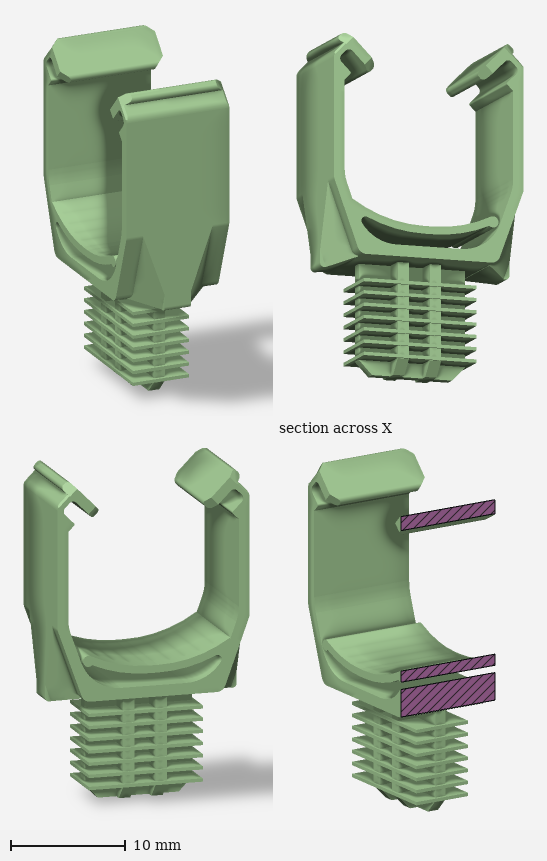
import cadquery as cq
import math


width = 17.56
length = 9.85
wall = 0.97
floor = 1.03
half_width = width / 2
half_inner = half_width - wall
half_length = length / 2
lean = math.radians(20)
inner_lean_z = 6.84
inner_lean_radius = 4.0
floor_radius = 3.85
foot_x = 6.09
foot_slope = math.radians(16.6)
foot_radius = 0.4

shoulder_z = 17.75
shoulder_radius = 0.87
shoulder_thickness = 0.61
bar_thickness = 0.93
bar_n = 1.38
bar_outer_u = -0.64
bar_inner_u = 3.50
bar_radius = 0.35
bar_corner = 0.86
notch_n = -0.08
notch_radius = 0.45
nub_u = 2.35
nub_radius = 0.15
shoulder_edge_y = 0.2
shoulder_edge_depth = 0.16

tongue_thickness = 0.69
tongue_top_z = 2.85
tongue_radius = 12.0
tongue_flat = 0.87
tongue_root_x = -7.02
tongue_tip_x = 5.73
tongue_bead_radius = 0.5
tongue_root_radius = 0.4
slot_end_x = 6.7
slot_end_z = 3.8

facet_z = 6.59
facet_half = 3.31
rib_half = 1.264
rib_depth = 1.95
facet_top_radius = 0.7
facet_foot_x = half_width - facet_z * math.tan(lean)
facet_foot_radius = 0.85
rib_embed = 0.5

plug_depth = 9.82
plug_half_x = 4.925
plug_half_y = 2.48
plug_taper = 1.22
plug_taper_height = 1.26
cross_rib_x = 1.49
plug_rib = 1.04
fin_count = 7
fin_pitch = 1.095
fin_thickness = 0.3
fin_half_x = 5.22
fin_half_y = 2.68
first_fin_z = -1.82


def unit(start, end):
    """Unit vector from start towards end."""
    dx = end[0] - start[0]
    dz = end[1] - start[1]
    distance = math.hypot(dx, dz)
    return dx / distance, dz / distance


def rounded_outline(corners):
    """Closed XZ outline through (x, z, radius) corners, each rounded by a tangent arc."""
    stretches = []
    for i, (x, z, radius) in enumerate(corners):
        if radius == 0:
            stretches.append([(x, z)])
            continue
        back = unit((x, z), corners[i - 1])
        ahead = unit((x, z), corners[(i + 1) % len(corners)])
        half_angle = math.acos(back[0] * ahead[0] + back[1] * ahead[1]) / 2
        reach = radius / math.tan(half_angle)
        middle = unit((0, 0), (back[0] + ahead[0], back[1] + ahead[1]))
        sag = radius / math.sin(half_angle) - radius
        stretches.append([
            (x + reach * back[0], z + reach * back[1]),
            (x + sag * middle[0], z + sag * middle[1]),
            (x + reach * ahead[0], z + reach * ahead[1]),
        ])
    outline = cq.Workplane("XZ").moveTo(*stretches[0][-1])
    for stretch in stretches[1:] + stretches[:1]:
        if len(stretch) == 1:
            outline = outline.lineTo(*stretch[0])
        else:
            outline = outline.lineTo(*stretch[0]).threePointArc(*stretch[1:])
    return outline.close()


def hook_point(u, n):
    """XZ position of a point of the left hook frame."""
    return -half_width + (u + n) / math.sqrt(2), shoulder_z + (n - u) / math.sqrt(2)


def both_sides(solid):
    """Solid together with its mirror image in X."""
    return solid.union(solid.mirror("YZ"))


def make_frame():
    """Cradle, side walls and snap hooks as one extruded outline."""
    bar_top_n = bar_n + bar_thickness
    nub_base_n = wall * math.sqrt(2) - nub_u
    floor_x = half_inner - (inner_lean_z - floor) * math.tan(lean)
    left = [
        (-facet_foot_x, 0, facet_foot_radius),
        (-half_width, facet_z, facet_top_radius),
        (-half_width, shoulder_z, shoulder_radius),
        (*hook_point(0, bar_n), 0),
        (*hook_point(bar_outer_u, bar_n), bar_radius),
        (*hook_point(bar_outer_u, bar_top_n), bar_radius),
        (*hook_point(bar_inner_u, bar_top_n), bar_radius),
        (*hook_point(bar_inner_u, bar_n), bar_radius),
        (*hook_point(shoulder_thickness, bar_n), notch_radius),
        (*hook_point(shoulder_thickness, notch_n), notch_radius),
        (*hook_point(nub_u, notch_n), nub_radius),
        (*hook_point(nub_u, nub_base_n), 0),
        (-half_inner, inner_lean_z, inner_lean_radius),
        (-floor_x, floor, floor_radius),
    ]
    right = [(-x, z, radius) for x, z, radius in reversed(left)]
    return rounded_outline(left + right).extrude(half_length, both=True)


def arc_height(x, radius, bottom_z):
    """Height of the tongue arc that rises from its flat middle."""
    run = abs(x) - tongue_flat / 2
    return bottom_z + radius - math.sqrt(radius**2 - run**2)


def make_tongue():
    """Curved strip with a bead along its free edge."""
    under_z = tongue_top_z - tongue_thickness
    under_radius = tongue_radius + tongue_thickness
    flat = tongue_flat / 2

    def top(x):
        return x, arc_height(x, tongue_radius, tongue_top_z)

    def under(x):
        return x, arc_height(x, under_radius, under_z)

    tip = tongue_tip_x
    root = tongue_root_x
    strip = (
        cq.Workplane("XZ")
        .moveTo(*top(root))
        .threePointArc(top(root / 2), top(-flat))
        .lineTo(*top(flat))
        .threePointArc(top(tip / 2), top(tip))
        .lineTo(*under(tip))
        .threePointArc(under(tip / 2), under(flat))
        .lineTo(*under(-flat))
        .threePointArc(under(root / 2), under(root))
        .close()
        .extrude(half_length, both=True)
    )
    tip_tilt = math.asin((tip - flat) / tongue_radius)
    bead_x = tip + tongue_bead_radius * math.sin(tip_tilt)
    bead_z = top(tip)[1] - tongue_bead_radius * math.cos(tip_tilt)
    bead = cq.Workplane("XZ").center(bead_x, bead_z).circle(tongue_bead_radius).extrude(half_length, both=True)
    return strip.union(bead)


def add_tongue(frame):
    """Join the tongue to the frame and round the closed end of the slot below it."""
    body = frame.union(make_tongue())
    root_edge = cq.selectors.NearestToPointSelector((-slot_end_x, 0, slot_end_z))
    return body.edges("|Y").edges(root_edge).fillet(tongue_root_radius)


def make_side_ribs():
    """Ribs that carry the side walls down past the leaning facets, tapering towards their outer edge."""
    foot_z = -(half_width - foot_x) * math.tan(foot_slope)
    side = rounded_outline([
        (-half_width, facet_z + rib_embed, 0),
        (-half_width, foot_z, foot_radius),
        (-foot_x, 0, 0),
    ]).extrude(half_length, both=True)
    slant = (math.sin(lean), 0, -math.cos(lean))
    outwards = (-math.cos(lean), 0, -math.sin(lean))
    plane = cq.Plane(origin=(-half_width, 0, facet_z), xDir=outwards, normal=slant)
    taper_slope = (facet_half - rib_half) / rib_depth
    embedded_half = facet_half + rib_embed * taper_slope
    taper = (
        cq.Workplane(plane).workplane(offset=-2 * rib_embed)
        .polyline([
            (-rib_embed, embedded_half),
            (rib_depth, rib_half),
            (half_width, rib_half),
            (half_width, -rib_half),
            (rib_depth, -rib_half),
            (-rib_embed, -embedded_half),
        ])
        .close().extrude(facet_z + half_width)
    )
    return both_sides(side.intersect(taper))


def hook_end_cutters():
    """Corner cuts on the ends of the hook bars and edge cuts along their shoulders."""
    down = (1 / math.sqrt(2), 0, -1 / math.sqrt(2))
    inwards = (1 / math.sqrt(2), 0, 1 / math.sqrt(2))
    x, z = hook_point(0, bar_n)
    bar_plane = cq.Plane(origin=(x, 0, z), xDir=down, normal=inwards)
    cutters = cq.Workplane("XY")
    for end_u, turn in ((bar_outer_u, 1), (bar_inner_u, -1)):
        corner = cq.Workplane(bar_plane).polyline([
            (end_u, half_length),
            (end_u + turn * bar_corner, half_length),
            (end_u, half_length - bar_corner),
        ]).close().extrude(bar_thickness)
        cutters = cutters.add(corner)
    x, z = hook_point(0, 0)
    shoulder_plane = cq.Plane(origin=(x, 0, z), xDir=down, normal=inwards)
    edge = cq.Workplane(shoulder_plane).polyline([
        (0, half_length),
        (shoulder_edge_depth, half_length),
        (0, half_length - shoulder_edge_y),
    ]).close().extrude(bar_n)
    cutters = cutters.add(edge).combine()
    return both_sides(cutters.union(cutters.mirror("XZ")))


def tapered_rib(half_span, plane):
    """Plate as thick as a plug rib with its lower corners cut off."""
    return (
        cq.Workplane(plane)
        .polyline([
            (-half_span, 0),
            (-half_span, plug_taper_height - plug_depth),
            (plug_taper - half_span, -plug_depth),
            (half_span - plug_taper, -plug_depth),
            (half_span, plug_taper_height - plug_depth),
            (half_span, 0),
        ]).close().extrude(plug_rib / 2, both=True)
    )


def make_plug():
    """Crossed ribs carrying a stack of thin rectangular fins."""
    plug = tapered_rib(plug_half_x, "XZ")
    for x in (-cross_rib_x, cross_rib_x):
        plug = plug.union(tapered_rib(plug_half_y, "YZ").translate((x, 0, 0)))
    for i in range(fin_count):
        fin = cq.Workplane("XY").box(2 * fin_half_x, 2 * fin_half_y, fin_thickness)
        plug = plug.union(fin.translate((0, 0, first_fin_z - i * fin_pitch)))
    return plug


body = add_tongue(make_frame())
body = body.cut(hook_end_cutters())
result = body.union(make_side_ribs()).union(make_plug())